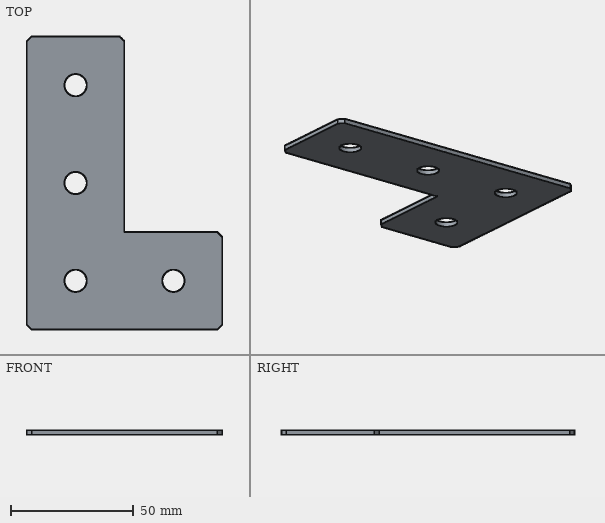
import cadquery as cq

length = 120.0
cell = length / 3
long_leg_cells = 3
short_leg_cells = 2
thickness = length / 60
hole_diameter = 9.0
corner_chamfer = 2.0

short_leg_length = short_leg_cells * cell
plate = (
    cq.Workplane("XY")
    .moveTo(0, 0)
    .lineTo(short_leg_length, 0)
    .lineTo(short_leg_length, cell)
    .lineTo(cell, cell)
    .lineTo(cell, length)
    .lineTo(0, length)
    .close()
    .extrude(thickness)
)

outer_corners = [
    (0, 0),
    (short_leg_length, 0),
    (short_leg_length, cell),
    (cell, length),
    (0, length),
]
for x, y in outer_corners:
    corner_edge = cq.selectors.NearestToPointSelector((x, y, thickness / 2))
    plate = plate.edges("|Z").edges(corner_edge).chamfer(corner_chamfer)

long_leg_holes = [(cell / 2, (i + 0.5) * cell) for i in range(long_leg_cells)]
short_leg_holes = [((i + 0.5) * cell, cell / 2) for i in range(1, short_leg_cells)]
holes = (
    cq.Workplane("XY")
    .pushPoints(long_leg_holes + short_leg_holes)
    .circle(hole_diameter / 2)
    .extrude(thickness)
)

result = plate.cut(holes)